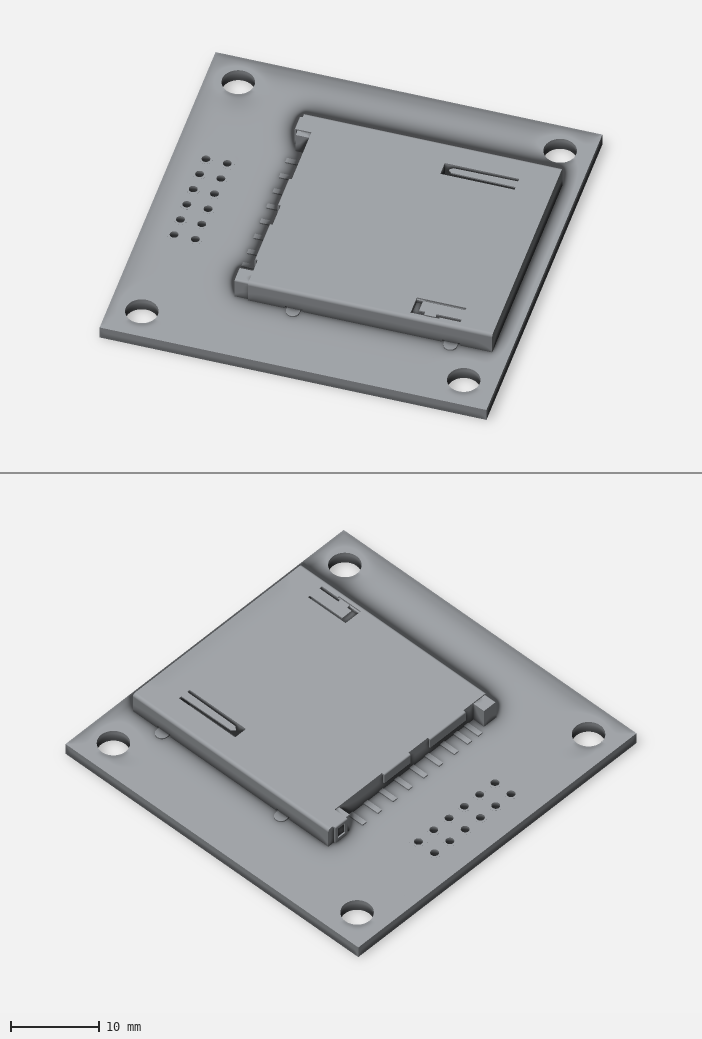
import cadquery as cq

board_side = 45.7
board_thickness = 1.6
total_height = 4.4
mount_hole_diameter = 3.8
mount_hole_offset = 19.0

header_pitch = 2.5
header_rows = 6
header_left_x = -19.0
pad_size = 1.6
pad_hole_diameter = 1.0
pad_height = 0.01

sheet = 0.2
bend_radius = 0.4
cover_half_width = 13.9
cover_right_x = 20.85
cover_edge_x = -8.0
corner_edge_x = -9.65
cover_corner_y = 11.1

housing_half_width = cover_half_width - sheet
housing_top = total_height - sheet
housing_upper_block_y = 10.4
housing_lower_block_y = -11.7

contact_width = 0.7
contact_tip_x = -10.25
contact_pitch = 2.5
contact_first_y = 8.55
contact_even_count = 7
contact_eighth_y = -8.75
contact_ninth_y = -10.45

tab_reach = 2 * sheet
tab_bend_radius = sheet
latch_tab_top_y = 13.1
latch_tab_bottom = board_thickness + sheet
latch_window_width = 1.2
latch_window_low = 2.35
latch_window_high = 3.9
edge_tab_bottom = 2.95
edge_tab_spans = [(-1.0, 3.35), (-10.05, -4.2)]

foot_centers_x = [-2.6, 16.0]
foot_width = 1.6
foot_reach = 1.15
foot_relief_width = 0.25
foot_relief_height = 0.35

spring_left_x = 7.85
spring_right_x = 16.65
spring_y = 9.88
spring_window_width = 1.8
spring_root_width = 0.95
spring_neck_width = 0.8
spring_neck_x = 9.0
spring_tip_x = 8.6

lock_left_x = 10.95
lock_right_x = 16.82
lock_top_y = -10.6
lock_bottom_y = -12.95
lock_step_x = 14.35
lock_step_depth = 0.25
lock_tongue_x = 11.8
lock_tongue_top_y = -10.95
lock_tongue_bottom_y = -12.55
lock_nub_left_x = 12.55
lock_nub_right_x = 13.9
lock_nub_reach = 0.45

spring_pocket_depth = 2.3
spring_ledge_depth = 1.85
spring_ledge_y = 9.8
lock_pocket_depth = 0.45
lock_pocket_top_y = lock_top_y - 0.2


def block(x0, x1, y0, y1, z0, z1):
    """Box given by its limits along each axis."""
    return cq.Workplane("XY").box(x1 - x0, y1 - y0, z1 - z0, centered=False).translate((x0, y0, z0))


def plate(points, z0, z1):
    """Flat plate with a polygon outline."""
    return cq.Workplane("XY").workplane(offset=z0).polyline(points).close().extrude(z1 - z0)


def rounded_bar(left_x, half_width, top, radius):
    """Bar along X standing on the board, with both long top edges rounded."""
    bar = block(left_x, cover_right_x, -half_width, half_width, board_thickness, top)
    return bar.edges("|X and >Z").fillet(radius)


def make_board():
    board = cq.Workplane("XY").box(board_side, board_side, board_thickness, centered=(True, True, False))
    header_points = [
        (header_left_x + column * header_pitch, (row - (header_rows - 1) / 2) * header_pitch)
        for column in range(2)
        for row in range(header_rows)
    ]
    square_pad_point = header_points[-1]
    top = cq.Workplane("XY").workplane(offset=board_thickness)
    round_pads = top.pushPoints(header_points[:-1]).circle(pad_size / 2).extrude(pad_height)
    square_pad = top.pushPoints([square_pad_point]).rect(pad_size, pad_size).extrude(pad_height)
    board = board.union(round_pads).union(square_pad)

    hole_depth = board_thickness + pad_height
    pad_holes = cq.Workplane("XY").pushPoints(header_points).circle(pad_hole_diameter / 2).extrude(hole_depth)
    mount_holes = (
        cq.Workplane("XY")
        .rect(2 * mount_hole_offset, 2 * mount_hole_offset, forConstruction=True)
        .vertices()
        .circle(mount_hole_diameter / 2)
        .extrude(hole_depth)
    )
    return board.cut(pad_holes).cut(mount_holes)


def make_housing():
    housing = rounded_bar(corner_edge_x, housing_half_width, housing_top, bend_radius - sheet)
    housing = housing.cut(
        block(corner_edge_x, cover_edge_x, housing_lower_block_y, housing_upper_block_y,
              board_thickness, housing_top)
    )
    spring_low_y = spring_y - spring_window_width / 2
    spring_high_y = spring_y + spring_window_width / 2
    spring_pocket = block(spring_left_x, spring_right_x, spring_low_y, spring_ledge_y,
                          housing_top - spring_pocket_depth, housing_top)
    spring_ledge = block(spring_left_x, spring_right_x, spring_ledge_y, spring_high_y,
                         housing_top - spring_ledge_depth, housing_top)
    housing = housing.cut(spring_pocket).cut(spring_ledge)
    housing = housing.cut(
        block(lock_left_x, lock_right_x, lock_bottom_y, lock_pocket_top_y,
              housing_top - lock_pocket_depth, housing_top)
    )
    contact_ys = [contact_first_y - i * contact_pitch for i in range(contact_even_count)]
    for y in contact_ys + [contact_eighth_y, contact_ninth_y]:
        contact = block(contact_tip_x, cover_edge_x, y - contact_width / 2, y + contact_width / 2,
                        board_thickness, board_thickness + sheet)
        housing = housing.union(contact)
    return housing


def folded_tab(edge_x, y0, y1, bottom):
    """Strip that leaves the cover at edge_x and bends down to the given height."""
    outer_x = edge_x - tab_reach
    root_x = edge_x + sheet
    tab = block(outer_x, root_x, y0, y1, bottom, total_height)
    tab = tab.edges("|Y and <X and >Z").fillet(tab_bend_radius)
    inside = block(outer_x + sheet, root_x, y0, y1, bottom - sheet, total_height - sheet)
    return tab.cut(inside)


def latch_tab():
    """Corner tab with a window and chamfered lower corners."""
    tab = folded_tab(corner_edge_x, cover_corner_y, latch_tab_top_y, latch_tab_bottom)
    tab = tab.edges("|X and <Z").chamfer(sheet)
    middle_y = (cover_corner_y + latch_tab_top_y) / 2
    window = block(corner_edge_x - tab_reach, corner_edge_x,
                   middle_y - latch_window_width / 2, middle_y + latch_window_width / 2,
                   latch_window_low, latch_window_high)
    return tab.cut(window)


def foot(center_x, side):
    """Foot with a half-round end, lying on the board beside the cover wall."""
    half = foot_width / 2
    wall_y = side * (cover_half_width - sheet)
    round_y = side * (cover_half_width + foot_reach - half)
    return (
        cq.Workplane("XY")
        .workplane(offset=board_thickness)
        .moveTo(center_x - half, wall_y)
        .lineTo(center_x - half, round_y)
        .threePointArc((center_x, round_y + side * half), (center_x + half, round_y))
        .lineTo(center_x + half, wall_y)
        .close()
        .extrude(sheet)
    )


def foot_relief(center_x, side):
    """Two small notches in the cover wall, one on each side of a foot."""
    offset = (foot_width + foot_relief_width) / 2
    return (
        cq.Workplane("XY")
        .workplane(offset=board_thickness)
        .pushPoints([(center_x - offset, side * (cover_half_width - sheet / 2)),
                     (center_x + offset, side * (cover_half_width - sheet / 2))])
        .rect(foot_relief_width, sheet)
        .extrude(foot_relief_height)
    )


def spring_opening():
    """Window in the cover top that leaves the pointed tongue standing."""
    window = block(spring_left_x, spring_right_x,
                   spring_y - spring_window_width / 2, spring_y + spring_window_width / 2,
                   housing_top, total_height)
    tongue = plate(
        [
            (spring_right_x, spring_y + spring_root_width / 2),
            (spring_neck_x, spring_y + spring_neck_width / 2),
            (spring_tip_x, spring_y),
            (spring_neck_x, spring_y - spring_neck_width / 2),
            (spring_right_x, spring_y - spring_root_width / 2),
        ],
        housing_top, total_height,
    )
    return window.cut(tongue)


def lock_opening():
    """Window in the cover top that leaves the lock tongue and its nub standing."""
    window = block(lock_left_x, lock_right_x, lock_bottom_y, lock_top_y, housing_top, total_height)
    step = block(lock_left_x, lock_step_x, lock_bottom_y - lock_step_depth, lock_bottom_y,
                 housing_top, total_height)
    tongue = block(lock_tongue_x, lock_right_x, lock_tongue_bottom_y, lock_tongue_top_y,
                   housing_top, total_height)
    nub = block(lock_nub_left_x, lock_nub_right_x, lock_tongue_bottom_y - lock_nub_reach,
                lock_tongue_bottom_y, housing_top, total_height)
    return window.union(step).cut(tongue).cut(nub)


def make_cover():
    cover = rounded_bar(corner_edge_x, cover_half_width, total_height, bend_radius)
    cover = cover.cut(rounded_bar(corner_edge_x, housing_half_width, housing_top, bend_radius - sheet))
    cover = cover.cut(
        block(corner_edge_x, cover_edge_x, -cover_half_width, cover_corner_y, board_thickness, total_height)
    )
    cover = cover.cut(spring_opening()).cut(lock_opening())
    cover = cover.union(latch_tab())
    for y0, y1 in edge_tab_spans:
        cover = cover.union(folded_tab(cover_edge_x, y0, y1, edge_tab_bottom))
    for center_x in foot_centers_x:
        for side in (-1, 1):
            cover = cover.cut(foot_relief(center_x, side)).union(foot(center_x, side))
    return cover


board = make_board()
housing = make_housing()
cover = make_cover()
result = cq.Compound.makeCompound([board.solids().val(), housing.solids().val(), cover.solids().val()])